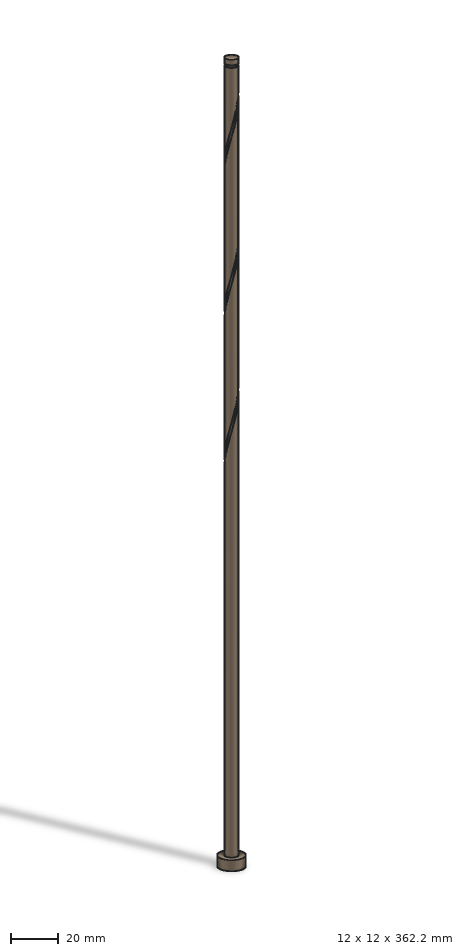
import cadquery as cq
import math

total_length = 362.2
head_diameter = 12.0
head_height = 5.0
shaft_diameter = 6.0

tip_height = 2.6
ring_width = 1.1
groove_depth = 0.5

helix_turns = 3
helix_pitch = 66.0
helix_groove_width = 1.2
helix_end_angle = 90.0

shaft_radius = shaft_diameter / 2
ring_top = total_length - tip_height
ring_bottom = ring_top - ring_width
ring_center = (ring_top + ring_bottom) / 2
helix_height = helix_turns * helix_pitch
helix_axial_width = helix_groove_width * helix_pitch / (math.pi * shaft_diameter)
helix_end = ring_center - helix_axial_width / 2
helix_start = helix_end - helix_height


def headed_pin():
    head = cq.Workplane("XY").circle(head_diameter / 2).extrude(head_height)
    shaft = cq.Workplane("XY").circle(shaft_radius).extrude(total_length)
    return head.union(shaft)


def ring_groove():
    return (
        cq.Workplane("XY", origin=(0, 0, ring_bottom))
        .circle(head_diameter / 2)
        .circle(shaft_radius - groove_depth)
        .extrude(ring_width)
    )


def helical_groove():
    path = cq.Wire.makeHelix(helix_pitch, helix_height, shaft_radius)
    slot = (
        cq.Workplane("XZ")
        .center(shaft_radius, 0)
        .rect(2 * groove_depth, helix_axial_width)
        .sweep(cq.Workplane(path), isFrenet=True)
    )
    return slot.rotate((0, 0, 0), (0, 0, 1), helix_end_angle).translate((0, 0, helix_start))


result = headed_pin().cut(helical_groove()).cut(ring_groove())